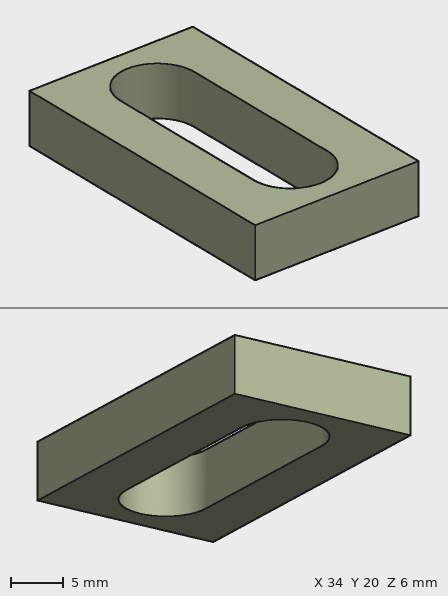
import cadquery as cq

plate_length = 34.0
plate_width = 20.0
plate_thickness = 6.0

slot_length = 29.0
slot_width = 9.0

plate = cq.Workplane("XY").box(plate_length, plate_width, plate_thickness)
result = plate.faces(">Z").workplane().slot2D(slot_length, slot_width).cutThruAll()